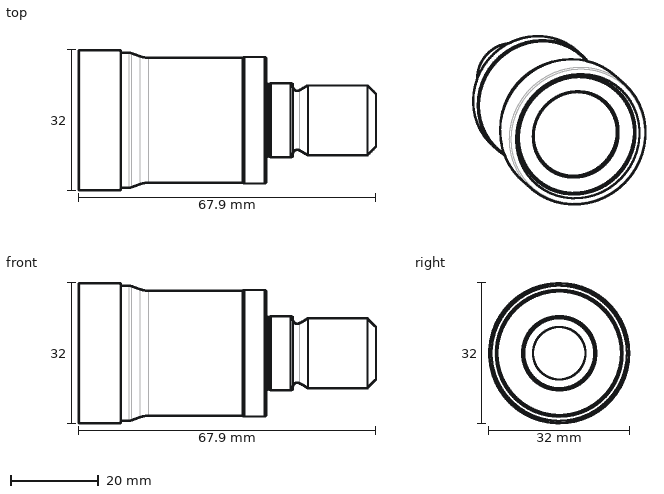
import cadquery as cq
import math


ring_length = 9.7
ring_radius = 32.03 / 2
ring_edge_fillet = 0.35
mouth_radius = 14.5
mouth_foot_radius = 13.85
mouth_depth = 1.1
dish_rim_radius = 13.5
dish_rim_depth = 1.35
dish_depth = 2.0
lip_radius = 10.1
bore_radius = 9.75
lip_length = 0.5
spigot_front = dish_depth + lip_length

flare_radius = 30.9 / 2
barrel_radius = 28.6 / 2
collar_radius = 29.0 / 2
flare_start = 11.5
flare_angle = math.radians(20)
flare_outer_bend = 1.75
flare_inner_bend = 5.8
collar_start = 37.45
collar_end = 42.9
collar_bevel_length = 0.5
collar_chamfer = 0.4

neck_radius = 16.6 / 2
neck_root_radius = 8.4
neck_root_length = 0.3
shoulder_radius = 17.0 / 2
undercut_radius = 13.5 / 2
stud_radius = 16.0 / 2
shoulder_start = 44.0
shoulder_end = 48.95
shoulder_bevel_length = 0.55
undercut_fillet = 1.0
undercut_angle = math.radians(30)
stud_end = 67.94
stud_chamfer = 2.0


def turn(outline):
    """Revolve a closed (x, radius) outline about the X axis."""
    return outline.close().revolve(360, (0, 0, 0), (1, 0, 0))


def bend_point(center_x, center_radius, bend, angle):
    """Point on a bend, at an angle from the radial direction.

    A negative bend gives a point on the side of its centre that faces the axis.
    """
    return (center_x + bend * math.sin(angle), center_radius + bend * math.cos(angle))


def make_ring():
    fillet_center_radius = ring_radius - ring_edge_fillet
    front_center = (ring_edge_fillet, fillet_center_radius)
    back_center = (ring_length - ring_edge_fillet, fillet_center_radius)

    outline = (
        cq.Workplane("XY")
        .moveTo(0, mouth_radius)
        .lineTo(0, fillet_center_radius)
        .threePointArc(
            bend_point(*front_center, ring_edge_fillet, -math.pi / 4),
            (ring_edge_fillet, ring_radius),
        )
        .lineTo(ring_length - ring_edge_fillet, ring_radius)
        .threePointArc(
            bend_point(*back_center, ring_edge_fillet, math.pi / 4),
            (ring_length, fillet_center_radius),
        )
        .lineTo(ring_length, bore_radius)
        .lineTo(spigot_front, bore_radius)
        .lineTo(dish_depth, lip_radius)
        .lineTo(dish_rim_depth, dish_rim_radius)
        .lineTo(mouth_depth, mouth_foot_radius)
    )
    return turn(outline)


def make_housing():
    cone_run = (flare_radius - barrel_radius) / math.tan(flare_angle)
    bend_runs = (flare_outer_bend + flare_inner_bend) * math.tan(flare_angle / 2)
    flare_end = flare_start + cone_run + bend_runs
    outer_center = (flare_start, flare_radius - flare_outer_bend)
    inner_center = (flare_end, barrel_radius + flare_inner_bend)

    hollow_bottom = shoulder_end + undercut_fillet
    hollow_center = (hollow_bottom, undercut_radius + undercut_fillet)
    cone_start, cone_start_radius = bend_point(*hollow_center, -undercut_fillet, -undercut_angle)
    stud_start = cone_start + (stud_radius - cone_start_radius) / math.tan(undercut_angle)

    outline = (
        cq.Workplane("XY")
        .moveTo(spigot_front, 0)
        .lineTo(spigot_front, bore_radius)
        .lineTo(ring_length, bore_radius)
        .lineTo(ring_length, flare_radius)
        .lineTo(flare_start, flare_radius)
        .threePointArc(
            bend_point(*outer_center, flare_outer_bend, flare_angle / 2),
            bend_point(*outer_center, flare_outer_bend, flare_angle),
        )
        .lineTo(*bend_point(*inner_center, -flare_inner_bend, flare_angle))
        .threePointArc(
            bend_point(*inner_center, -flare_inner_bend, flare_angle / 2),
            (flare_end, barrel_radius),
        )
        .lineTo(collar_start, barrel_radius)
        .lineTo(collar_start + collar_bevel_length, collar_radius)
        .lineTo(collar_end - collar_chamfer, collar_radius)
        .lineTo(collar_end, collar_radius - collar_chamfer)
        .lineTo(collar_end, neck_root_radius)
        .lineTo(collar_end + neck_root_length, neck_radius)
        .lineTo(shoulder_start - shoulder_bevel_length, neck_radius)
        .lineTo(shoulder_start, shoulder_radius)
        .lineTo(shoulder_end - shoulder_bevel_length, shoulder_radius)
        .lineTo(shoulder_end, neck_radius)
        .lineTo(shoulder_end, undercut_radius + undercut_fillet)
        .threePointArc(
            bend_point(*hollow_center, -undercut_fillet, math.pi / 4),
            (hollow_bottom, undercut_radius),
        )
        .threePointArc(
            bend_point(*hollow_center, -undercut_fillet, -undercut_angle / 2),
            (cone_start, cone_start_radius),
        )
        .lineTo(stud_start, stud_radius)
        .lineTo(stud_end - stud_chamfer, stud_radius)
        .lineTo(stud_end, stud_radius - stud_chamfer)
        .lineTo(stud_end, 0)
    )
    return turn(outline)


ring = make_ring()
housing = make_housing()

result = cq.Compound.makeCompound([ring.val(), housing.val()])